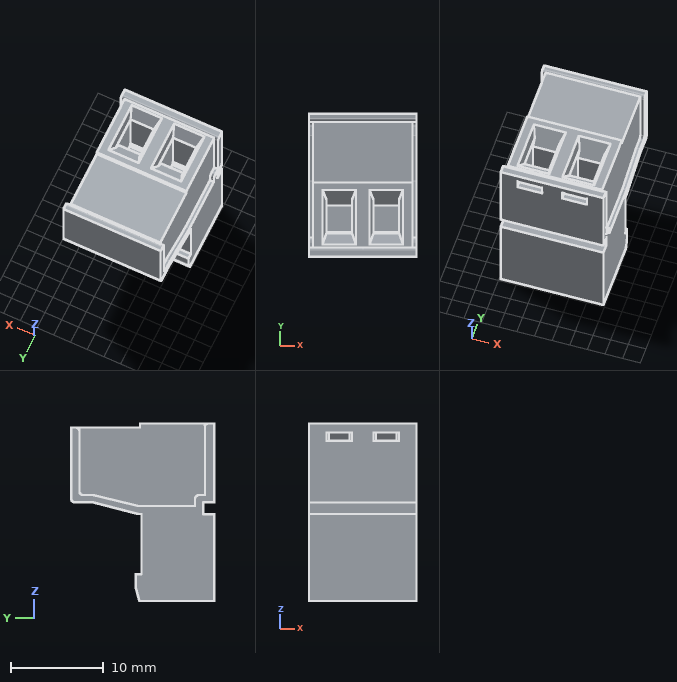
import cadquery as cq


WIDTH = 11.65
DEPTH = 15.5
HEIGHT = 19.2
POLE_PITCH = 5.09
POLE_CENTRES = (-POLE_PITCH / 2, POLE_PITCH / 2)

BASE_DEPTH = 8.12
LATCH_DEPTH = 8.5
LATCH_TAPER_Z = 1.4
LATCH_TOP_Z = 2.92
STEM_DEPTH = 7.9

RAMP_START_Y = 8.3
RAMP_START_Z = 9.4
RAMP_END_Y = 13.2
HEAD_BOTTOM_Z = 10.68
REAR_TOP_Z = 18.78
STEP_Y = 8.05
HEAD_CORNER_RADIUS = 0.38

GROOVE_DEPTH = 1.2
GROOVE_BOTTOM_Z = RAMP_START_Z
GROOVE_TOP_Z = HEAD_BOTTOM_Z

SIDE_RECESS = 0.46
FRONT_WALL = 1.04
REAR_WALL_Y = 14.61
RECESS_HIGH_Z = 11.46
RECESS_LOW_Z = 10.27
RECESS_STEP_Y = 2.11
RECESS_RAMP_START_Y = 8.22
RECESS_RAMP_END_Y = 13.13
RECESS_CORNER_RADIUS = 0.45
RECESS_STEP_RADIUS = 0.48

FRONT_EDGE_RADIUS = 0.3
REAR_EDGE_RADIUS = 0.35

ENTRY_WIDTH = 3.6
ENTRY_FRONT_Y = 1.36
ENTRY_REAR_Y = 7.24
SHAFT_WIDTH = 2.78
SHAFT_FRONT_Y = 2.53
SHAFT_REAR_Y = 5.57
FUNNEL_DEPTH = 1.0
SHAFT_FLOOR_Z = 11.52
LEDGE_LENGTH = 0.17
LEDGE_HEIGHT = 0.38

WINDOW_WIDTH = 2.8
WINDOW_BOTTOM_Z = 17.28
WINDOW_TOP_Z = 18.24
BARB_WIDTH = 2.17
BARB_TIP_Y = 0.38
BARB_BOTTOM_Z = 17.38


def extrude_across(outline, width, x_centre=0.0):
    """Extrude a YZ outline symmetrically about the plane X = x_centre."""
    return outline.extrude(width / 2, both=True).translate((x_centre, 0, 0))


def make_body():
    outline = cq.Workplane("YZ").polyline([
        (0, 0),
        (BASE_DEPTH, 0),
        (LATCH_DEPTH, LATCH_TAPER_Z),
        (LATCH_DEPTH, LATCH_TOP_Z),
        (STEM_DEPTH, LATCH_TOP_Z),
        (STEM_DEPTH, RAMP_START_Z),
        (RAMP_START_Y, RAMP_START_Z),
        (RAMP_END_Y, HEAD_BOTTOM_Z),
        (DEPTH, HEAD_BOTTOM_Z),
        (DEPTH, REAR_TOP_Z),
        (STEP_Y, REAR_TOP_Z),
        (STEP_Y, HEIGHT),
        (0, HEIGHT),
        (0, GROOVE_TOP_Z),
        (GROOVE_DEPTH, GROOVE_TOP_Z),
        (GROOVE_DEPTH, GROOVE_BOTTOM_Z),
        (0, GROOVE_BOTTOM_Z),
    ]).close()
    lower_rear_edge = cq.selectors.NearestToPointSelector((0, DEPTH, HEAD_BOTTOM_Z))
    return extrude_across(outline, WIDTH).edges(lower_rear_edge).fillet(HEAD_CORNER_RADIUS)


def make_side_recess(side):
    """Recess cutter for the side at -X (side = -1) or +X (side = 1)."""
    outline = cq.Workplane("YZ").polyline([
        (FRONT_WALL, HEIGHT),
        (FRONT_WALL, RECESS_HIGH_Z),
        (RECESS_STEP_Y, RECESS_HIGH_Z),
        (RECESS_STEP_Y, RECESS_LOW_Z),
        (RECESS_RAMP_START_Y, RECESS_LOW_Z),
        (RECESS_RAMP_END_Y, RECESS_HIGH_Z),
        (REAR_WALL_Y, RECESS_HIGH_Z),
        (REAR_WALL_Y, HEIGHT),
    ]).close()
    rear_corner = cq.selectors.NearestToPointSelector((0, REAR_WALL_Y, RECESS_HIGH_Z))
    front_step = cq.selectors.NearestToPointSelector((0, RECESS_STEP_Y, RECESS_HIGH_Z))
    cutter = extrude_across(outline, SIDE_RECESS)
    cutter = cutter.edges(rear_corner).fillet(RECESS_CORNER_RADIUS)
    cutter = cutter.edges(front_step).fillet(RECESS_STEP_RADIUS)
    return cutter.translate((side * (WIDTH - SIDE_RECESS) / 2, 0, 0))


def make_wall_rounding(inner_y, top_z, radius, outward):
    """Cutter that rounds a wall's upper inner edge; outward is the Y direction away from the body."""
    block = cq.Workplane("YZ").center(inner_y + outward * radius / 2, top_z - radius / 2).rect(radius, radius)
    rod = cq.Workplane("YZ").center(inner_y + outward * radius, top_z - radius).circle(radius)
    return extrude_across(block, WIDTH).cut(extrude_across(rod, WIDTH))


def make_wire_entry(x_centre):
    shaft_top_z = HEIGHT - FUNNEL_DEPTH
    funnel_rear_y = ENTRY_REAR_Y - FUNNEL_DEPTH
    slope_end_z = HEIGHT - (ENTRY_REAR_Y - SHAFT_REAR_Y)

    def rectangle(width, front_y, rear_y, z):
        plane = cq.Workplane("XY", origin=(x_centre, (front_y + rear_y) / 2, z))
        return plane.rect(width, rear_y - front_y).val()

    top = rectangle(ENTRY_WIDTH, ENTRY_FRONT_Y, ENTRY_REAR_Y, HEIGHT)
    throat = rectangle(SHAFT_WIDTH, SHAFT_FRONT_Y, funnel_rear_y, shaft_top_z)
    funnel = cq.Workplane(cq.Solid.makeLoft([top, throat], True))

    shaft = cq.Workplane("YZ").polyline([
        (SHAFT_FRONT_Y, shaft_top_z),
        (SHAFT_FRONT_Y, SHAFT_FLOOR_Z + LEDGE_HEIGHT),
        (SHAFT_FRONT_Y + LEDGE_LENGTH, SHAFT_FLOOR_Z + LEDGE_HEIGHT),
        (SHAFT_FRONT_Y + LEDGE_LENGTH, SHAFT_FLOOR_Z),
        (SHAFT_REAR_Y, SHAFT_FLOOR_Z),
        (SHAFT_REAR_Y, slope_end_z),
        (funnel_rear_y, shaft_top_z),
    ]).close()
    return funnel.union(extrude_across(shaft, SHAFT_WIDTH, x_centre))


def make_latch_window(x_centre):
    """Window through the front wall, less the barb that hangs from its upper edge."""
    window_height = WINDOW_TOP_Z - WINDOW_BOTTOM_Z
    window = cq.Workplane("XY").box(WINDOW_WIDTH, FRONT_WALL, window_height, centered=(True, False, False))
    window = window.translate((x_centre, 0, WINDOW_BOTTOM_Z))
    barb = cq.Workplane("YZ").polyline([
        (BARB_TIP_Y, WINDOW_TOP_Z),
        (FRONT_WALL, WINDOW_TOP_Z),
        (FRONT_WALL, BARB_BOTTOM_Z),
    ]).close()
    return window.cut(extrude_across(barb, BARB_WIDTH, x_centre))


result = make_body()
for side in (-1, 1):
    result = result.cut(make_side_recess(side))
result = result.cut(make_wall_rounding(FRONT_WALL, HEIGHT, FRONT_EDGE_RADIUS, -1))
result = result.cut(make_wall_rounding(REAR_WALL_Y, REAR_TOP_Z, REAR_EDGE_RADIUS, 1))
for pole_x in POLE_CENTRES:
    result = result.cut(make_wire_entry(pole_x))
    result = result.cut(make_latch_window(pole_x))